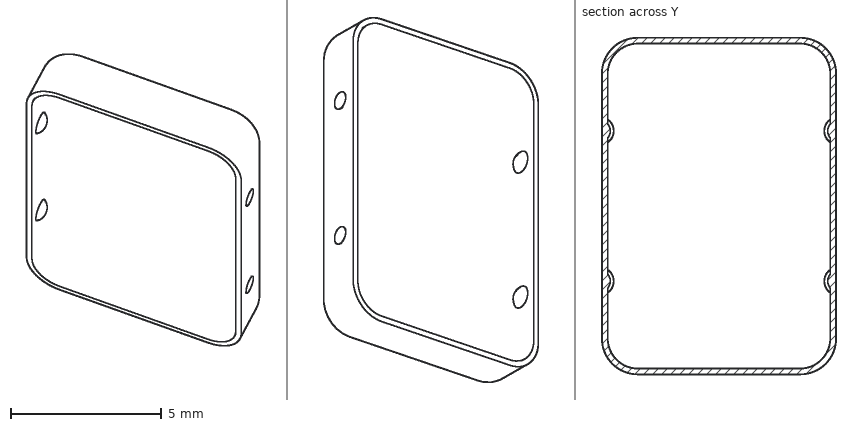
import cadquery as cq

width = 7.8
depth = 2.0
height = 11.2
wall = 0.2
corner_radius = 1.2
back_edge_radius = 0.6

dimple_depth = 0.2
hollow_mouth_radius = 0.3
bump_base_radius = 0.38
dimple_from_rim = 0.7
dimple_spacing = 5.0

rim_y = -depth / 2


def rounded_block(inset):
    """Block with rounded corners and back edge, offset inward from the outer skin."""
    return (
        cq.Workplane("XZ", origin=(0, rim_y, 0))
        .rect(width - 2 * inset, height - 2 * inset)
        .extrude(-(depth - inset))
        .edges("|Y")
        .fillet(corner_radius - inset)
        .faces(">Y")
        .edges()
        .fillet(back_edge_radius - inset)
    )


def dimple_spheres(base_radius, base_x):
    """Four spheres whose caps rise inward from the planes x = +base_x and x = -base_x.

    Each cap is dimple_depth high and base_radius wide at its base plane.
    """
    radius = (base_radius**2 + dimple_depth**2) / (2 * dimple_depth)
    centre_x = base_x + radius - dimple_depth
    centre_y = rim_y + dimple_from_rim
    right_side = (
        cq.Workplane("XY")
        .pushPoints([(centre_x, centre_y)])
        .sphere(radius)
    )
    spheres = cq.Workplane("XY")
    for z in (-dimple_spacing / 2, dimple_spacing / 2):
        right_sphere = right_side.translate((0, 0, z))
        spheres = spheres.add(right_sphere).add(right_sphere.mirror("YZ"))
    return spheres.combine()


outer = rounded_block(0)
tray = outer.cut(rounded_block(wall))
bumps = dimple_spheres(bump_base_radius, width / 2 - wall).intersect(outer)
hollows = dimple_spheres(hollow_mouth_radius, width / 2)
result = tray.union(bumps).cut(hollows)